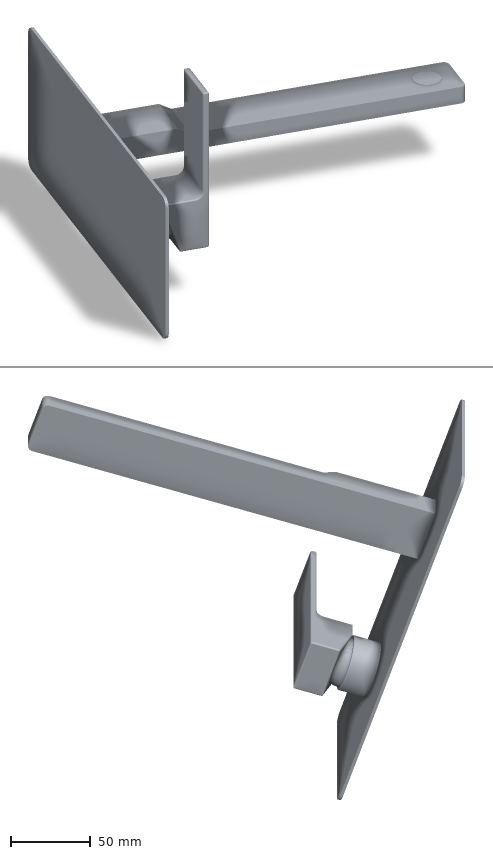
import cadquery as cq
import math

plate_width = 250.0
plate_height = 100.0
plate_thickness = 2.0
plate_corner_radius = 6.0

axis_offset = 54.5
spout_x = -axis_offset
handle_x = axis_offset
axis_z = plate_height / 2

spout_width = 35.0
spout_reach = 260.0
spout_bottom_z = 41.3
root_height = 16.6
arm_height = 11.7
ramp_start_y = 67.5
ramp_end_y = 76.0
spout_corner_radius = 4.0

button_diameter = 18.2
button_height = 0.5
button_tip_distance = 20.0

socket_diameter = 35.5
socket_front_y = 19.8
socket_edge_radius = 0.8

handle_width = 36.0
handle_top_z = 141.7
handle_front_y = 48.4
handle_bottom_z = 32.0
block_rear_y = 20.5
block_top_z = 67.3
lever_thickness = 4.2
lever_root_radius = 5.2
undercut_start_y = 29.0
undercut_angle = 20.0
handle_edge_radius = 1.0
ball_radius = 16.0


def make_plate():
    return (
        cq.Workplane("XY")
        .box(plate_width, plate_thickness, plate_height, centered=(True, False, False))
        .edges("|Y")
        .fillet(plate_corner_radius)
    )


def make_spout():
    root_top_z = spout_bottom_z + root_height
    arm_top_z = spout_bottom_z + arm_height
    arm = (
        cq.Workplane("YZ", origin=(spout_x, 0, 0))
        .moveTo(0, spout_bottom_z)
        .lineTo(spout_reach, spout_bottom_z)
        .lineTo(spout_reach, arm_top_z)
        .lineTo(ramp_end_y, arm_top_z)
        .lineTo(ramp_start_y, root_top_z)
        .lineTo(0, root_top_z)
        .close()
        .extrude(spout_width / 2, both=True)
        .edges("|Z and >Y")
        .fillet(spout_corner_radius)
    )
    button = (
        cq.Workplane("XY", origin=(spout_x, spout_reach - button_tip_distance, arm_top_z))
        .circle(button_diameter / 2)
        .extrude(button_height)
    )
    return arm.union(button)


def make_socket():
    return (
        cq.Workplane("XZ", origin=(handle_x, 0, axis_z))
        .circle(socket_diameter / 2)
        .extrude(-socket_front_y)
        .faces(">Y")
        .edges()
        .fillet(socket_edge_radius)
    )


def make_fixed_body():
    return make_plate().union(make_spout()).union(make_socket())


def make_handle_block():
    lever_rear_y = handle_front_y - lever_thickness
    undercut_depth = undercut_start_y - block_rear_y
    undercut_top_z = handle_bottom_z + undercut_depth / math.tan(math.radians(undercut_angle))
    block = (
        cq.Workplane("YZ", origin=(handle_x, 0, 0))
        .moveTo(handle_front_y, handle_bottom_z)
        .lineTo(handle_front_y, handle_top_z)
        .lineTo(lever_rear_y, handle_top_z)
        .lineTo(lever_rear_y, block_top_z + lever_root_radius)
        .radiusArc((lever_rear_y - lever_root_radius, block_top_z), lever_root_radius)
        .lineTo(block_rear_y, block_top_z)
        .lineTo(block_rear_y, undercut_top_z)
        .lineTo(undercut_start_y, handle_bottom_z)
        .close()
        .extrude(handle_width / 2, both=True)
    )
    return block.faces("<X or >X or >Z or >Y").edges().fillet(handle_edge_radius)


def make_pivot_ball():
    ball = cq.Workplane("XY", origin=(handle_x, socket_front_y, axis_z)).sphere(ball_radius)
    front_half = (
        cq.Workplane("XY", origin=(handle_x, socket_front_y, axis_z))
        .box(2 * ball_radius, ball_radius, 2 * ball_radius, centered=(True, False, True))
    )
    return ball.intersect(front_half)


def make_handle():
    return make_handle_block().union(make_pivot_ball())


fixed_body = make_fixed_body()
handle = make_handle()

result = cq.Compound.makeCompound([fixed_body.val(), handle.val()])